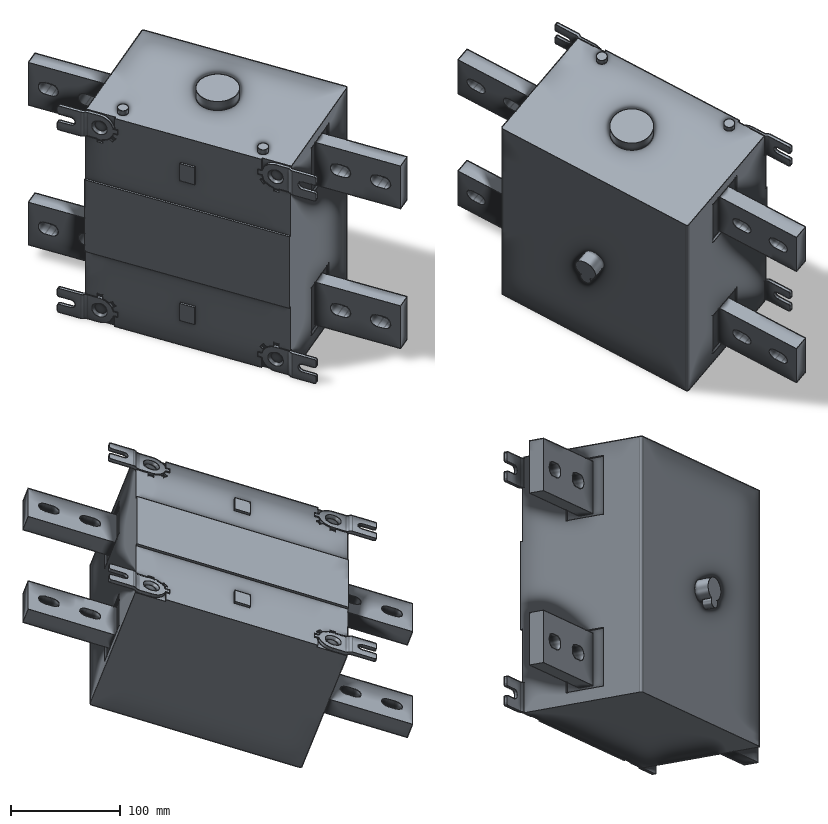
import cadquery as cq

BODY_WIDTH = 205.0
BODY_DEPTH = 128.5
BODY_HEIGHT = 244.0
BACK_EDGE_RADIUS = 2.0
MID_Z = BODY_HEIGHT / 2

OVERALL_WIDTH = 372.0
BAR_THICKNESS = 15.0
BAR_HEIGHT = 50.0
BAR_Y = 67.0
BAR_Z = 40.0
BAR_SLOT_LENGTH = 20.0
BAR_SLOT_HEIGHT = 13.5
BAR_SLOT_INSET = 20.0
BAR_SLOT_PITCH = 40.0
BAR_LEVELS = (BAR_Z, BODY_HEIGHT - BAR_Z)

RECESS_THICKNESS = 40.0
RECESS_HEIGHT = 56.0
RECESS_DEPTH = 2.5

PANEL_HEIGHT = 84.0
PANEL_RAISE = 2.0
LABEL_WIDTH = 15.0
LABEL_HEIGHT = 20.0

BUTTON_DIAMETER = 40.0
BUTTON_HEIGHT = 10.5
PIN_DIAMETER = 10.0
PIN_HEIGHT = 5.5
PIN_X = 70.0
PIN_Y = 11.5

KNOB_DIAMETER = 22.0
KNOB_LENGTH = 14.4
LOBE_DIAMETER = 11.0
LOBE_LENGTH = 9.6
LOBE_DROP = 12.4

BRACKET_HEIGHT = 28.0
BRACKET_THICKNESS = 3.0
BRACKET_REACH = 129.3
BRACKET_HOLE_X = 88.0
BRACKET_HOLE_Z = BODY_HEIGHT - 15.0
BRACKET_RADIUS = BRACKET_HEIGHT / 2
EAR_CORNER_RADIUS = 2.0
EAR_SLOT_HEIGHT = 9.0
EAR_SLOT_END_X = 111.3
BEND_OUTER_X = 105.8
BEND_INNER_X = 100.2
SCREW_HOLE_DIAMETER = 11.2
COUNTERSINK_DIAMETER = 15.4

POCKET_DEPTH = 2.0
POCKET_INNER_X = 73.4
NOTCH_WIDTH = 5.4
NOTCH_REACH = 18.0
TAB_ANGLE = 0
NOTCH_ANGLES = (TAB_ANGLE, -38, -90)


def box(x_range, y_range, z_range):
    """Axis-aligned block between the given limits."""
    size = [high - low for low, high in (x_range, y_range, z_range)]
    corner = (x_range[0], y_range[0], z_range[0])
    return cq.Workplane("XY").box(*size, centered=False).translate(corner)


def centered_box(width, y_range, height, z):
    """Block centred on X = 0 and on height z."""
    return box((-width / 2, width / 2), y_range, (z - height / 2, z + height / 2))


def cylinder_z(x, y, z, diameter, height):
    return cq.Workplane("XY", origin=(x, y, z)).circle(diameter / 2).extrude(height)


def cylinder_y(x, y, z, diameter, length):
    """Cylinder running from y toward +Y."""
    return cq.Workplane("XZ", origin=(x, y, z)).circle(diameter / 2).extrude(-length)


def at_four_corners(shape):
    """The upper-left shape together with its mirror images at the other corners."""
    pair = shape.union(shape.mirror("YZ"))
    return pair.union(pair.mirror("XY", (0, 0, MID_Z)))


def make_housing():
    body = centered_box(BODY_WIDTH, (0, BODY_DEPTH), BODY_HEIGHT, MID_Z)
    return body.edges("|Z and >Y").fillet(BACK_EDGE_RADIUS)


def make_side_recesses():
    cut_y = (BAR_Y - RECESS_THICKNESS / 2, BAR_Y + RECESS_THICKNESS / 2)
    recesses = cq.Workplane("XY")
    for z in BAR_LEVELS:
        outer = centered_box(BODY_WIDTH, cut_y, RECESS_HEIGHT, z)
        core = centered_box(BODY_WIDTH - 2 * RECESS_DEPTH, cut_y, RECESS_HEIGHT, z)
        recesses = recesses.add(outer.cut(core))
    return recesses.combine()


def make_bar(z):
    bar_y = (BAR_Y - BAR_THICKNESS / 2, BAR_Y + BAR_THICKNESS / 2)
    outer_slot_x = OVERALL_WIDTH / 2 - BAR_SLOT_INSET
    inner_slot_x = outer_slot_x - BAR_SLOT_PITCH
    slot_centers = [(side * x, 0) for side in (-1, 1) for x in (outer_slot_x, inner_slot_x)]
    slots = (
        cq.Workplane("XZ", origin=(0, BAR_Y, z))
        .pushPoints(slot_centers)
        .slot2D(BAR_SLOT_LENGTH, BAR_SLOT_HEIGHT)
        .extrude(BAR_THICKNESS, both=True)
    )
    return centered_box(OVERALL_WIDTH, bar_y, BAR_HEIGHT, z).cut(slots)


def bracket_tongue(y, depth):
    """Straight tongue with a round inner end, running from the bracket reach to the screw."""
    low_z = BRACKET_HOLE_Z - BRACKET_RADIUS
    high_z = BRACKET_HOLE_Z + BRACKET_RADIUS
    straight = box((-BRACKET_REACH, -BRACKET_HOLE_X), (y, y + depth), (low_z, high_z))
    return straight.union(cylinder_y(-BRACKET_HOLE_X, y, BRACKET_HOLE_Z, BRACKET_HEIGHT, depth))


def radial_block(angle, y_range):
    """Block reaching out from the screw axis at an angle measured from +X toward +Z."""
    block = box((0, NOTCH_REACH), y_range, (-NOTCH_WIDTH / 2, NOTCH_WIDTH / 2))
    block = block.rotate((0, 0, 0), (0, 1, 0), -angle)
    return block.translate((-BRACKET_HOLE_X, 0, BRACKET_HOLE_Z))


def make_pocket():
    """Upper-left bracket pocket with its notches and the open corner above the round end."""
    pocket = bracket_tongue(0, POCKET_DEPTH)
    corner = box(
        (-BODY_WIDTH / 2, -POCKET_INNER_X),
        (0, POCKET_DEPTH),
        (BRACKET_HOLE_Z, BODY_HEIGHT),
    )
    pocket = pocket.union(corner)
    for angle in NOTCH_ANGLES:
        pocket = pocket.union(radial_block(angle, (0, POCKET_DEPTH)))
    return pocket


def make_bracket():
    """Upper-left bracket: an S-bent strip with its forked ear in front of the housing face."""
    ear_front = -BRACKET_THICKNESS
    seat_front = POCKET_DEPTH - BRACKET_THICKNESS
    inner_x = BRACKET_RADIUS - BRACKET_HOLE_X
    bend_x = -(BEND_OUTER_X + BEND_INNER_X) / 2
    half_step = POCKET_DEPTH / 2
    bent_strip = (
        cq.Workplane("XY", origin=(0, 0, BRACKET_HOLE_Z - BRACKET_RADIUS))
        .moveTo(-BRACKET_REACH, ear_front)
        .lineTo(-BEND_OUTER_X, ear_front)
        .tangentArcPoint((bend_x, ear_front + half_step), relative=False)
        .tangentArcPoint((-BEND_INNER_X, seat_front), relative=False)
        .lineTo(inner_x, seat_front)
        .lineTo(inner_x, POCKET_DEPTH)
        .lineTo(-BEND_INNER_X, POCKET_DEPTH)
        .tangentArcPoint((bend_x, half_step), relative=False)
        .tangentArcPoint((-BEND_OUTER_X, 0), relative=False)
        .lineTo(-BRACKET_REACH, 0)
        .close()
        .extrude(BRACKET_HEIGHT)
    )
    tongue = bracket_tongue(ear_front, BRACKET_THICKNESS + POCKET_DEPTH)
    bracket = bent_strip.intersect(tongue)
    bracket = bracket.union(radial_block(TAB_ANGLE, (seat_front, POCKET_DEPTH)))

    slot_radius = EAR_SLOT_HEIGHT / 2
    slot_center_x = -EAR_SLOT_END_X - slot_radius
    slot_z = (BRACKET_HOLE_Z - slot_radius, BRACKET_HOLE_Z + slot_radius)
    fork = box((-BRACKET_REACH, slot_center_x), (ear_front, 0), slot_z)
    fork_end = cylinder_y(slot_center_x, ear_front, BRACKET_HOLE_Z, EAR_SLOT_HEIGHT, BRACKET_THICKNESS)
    bracket = bracket.cut(fork.union(fork_end))
    bracket = bracket.edges("|Y and <X").fillet(EAR_CORNER_RADIUS)

    countersink = (
        cq.Workplane("XZ", origin=(-BRACKET_HOLE_X, seat_front, BRACKET_HOLE_Z))
        .circle(COUNTERSINK_DIAMETER / 2)
        .workplane(offset=-BRACKET_THICKNESS)
        .circle(SCREW_HOLE_DIAMETER / 2)
        .loft()
    )
    return bracket.cut(countersink)


def make_front_plates():
    raised = (-PANEL_RAISE, 0)
    plates = centered_box(BODY_WIDTH, raised, PANEL_HEIGHT, MID_Z)
    for z in BAR_LEVELS:
        plates = plates.union(centered_box(LABEL_WIDTH, raised, LABEL_HEIGHT, z))
    return plates


def make_top_controls():
    controls = cylinder_z(0, BAR_Y, BODY_HEIGHT, BUTTON_DIAMETER, BUTTON_HEIGHT)
    for side in (-1, 1):
        controls = controls.union(cylinder_z(side * PIN_X, PIN_Y, BODY_HEIGHT, PIN_DIAMETER, PIN_HEIGHT))
    return controls


def make_knob():
    knob = cylinder_y(0, BODY_DEPTH, MID_Z, KNOB_DIAMETER, KNOB_LENGTH)
    lobe_y = BODY_DEPTH + KNOB_LENGTH - LOBE_LENGTH
    return knob.union(cylinder_y(0, lobe_y, MID_Z - LOBE_DROP, LOBE_DIAMETER, LOBE_LENGTH))


result = make_housing().cut(make_side_recesses()).cut(at_four_corners(make_pocket()))
for bar_level in BAR_LEVELS:
    result = result.union(make_bar(bar_level))
result = result.union(at_four_corners(make_bracket()))
result = result.union(make_front_plates())
result = result.union(make_top_controls())
result = result.union(make_knob())